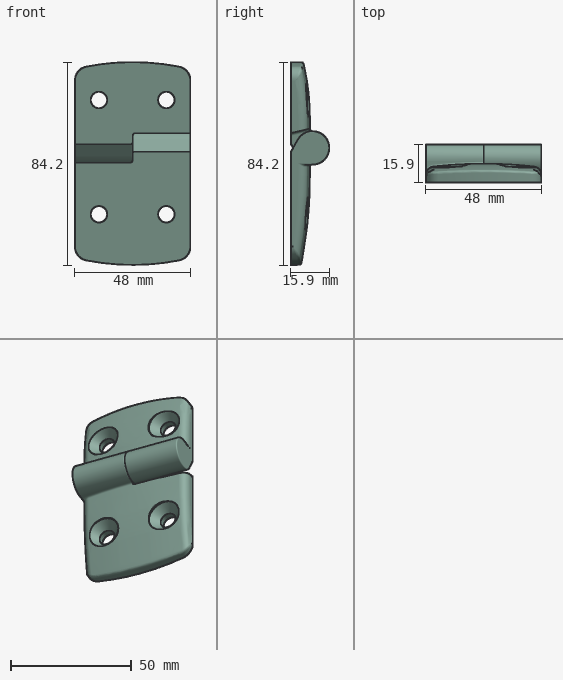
import cadquery as cq
import math

width = 48.0
half_width = width / 2

axis_y = 8.9
knuckle_radius = 7.0
knuckle_end_round = 0.5
knuckle_root_z = 1.5

plate_thickness = 7.9
plate_start_z = 4.2
back_crown_radius = 185.35
side_round = 3.7
end_radius = 100.0
corner_radius = 6.0
end_edge_round = 1.2
root_fillet = 0.85
bend_sweep = 30.0

slot_edge_z = 6.15
slot_slope = 13.3
slot_corner_round = 1.2

hole_diameter = 6.7
hole_x = 14.0
countersink_diameter = 14.0
countersink_y = 6.65
countersink_angle = 90.0

upper_length = 35.6
upper_hole_z = 19.9
upper_bend_z = 12.05
upper_bend_radius = 101.1
lower_length = 48.6
lower_hole_z = 27.55
lower_bend_z = 11.55
lower_bend_radius = 187.0


def crowned_outline(plane, base, top, crown_radius, round_radius):
    """Full-width outline with straight sides, a bulging top and tangent rounded corners."""
    crown_centre = top - crown_radius
    corner_x = half_width - round_radius
    corner_v = crown_centre + math.sqrt((crown_radius - round_radius) ** 2 - corner_x**2)
    tilt = math.asin(corner_x / (crown_radius - round_radius))
    crown_x = crown_radius * math.sin(tilt)
    crown_v = crown_centre + crown_radius * math.cos(tilt)
    middle_angle = (math.pi / 2 - tilt) / 2
    middle_x = corner_x + round_radius * math.cos(middle_angle)
    middle_v = corner_v + round_radius * math.sin(middle_angle)
    return (
        plane.moveTo(-half_width, base)
        .lineTo(half_width, base)
        .lineTo(half_width, corner_v)
        .threePointArc((middle_x, middle_v), (crown_x, crown_v))
        .threePointArc((0, top), (-crown_x, crown_v))
        .threePointArc((-middle_x, middle_v), (-half_width, corner_v))
        .close()
    )


def make_plate(length, bend_z, bend_radius):
    """Plate whose crowned back runs straight, then bends towards the mounting face."""

    def section(z):
        plane = cq.Workplane("XY", origin=(0, 0, z))
        return crowned_outline(plane, 0, plate_thickness, back_crown_radius, side_round)

    bend_axis_y = plate_thickness - bend_radius
    straight = section(plate_start_z).extrude(bend_z - plate_start_z)
    bent = section(bend_z).revolve(bend_sweep, (0, bend_axis_y), (1, bend_axis_y))
    outline = crowned_outline(
        cq.Workplane("XZ"), plate_start_z, length, end_radius, corner_radius
    ).extrude(-plate_thickness)
    plate = straight.union(bent).intersect(outline)
    back_end_edge = plate.faces(">Z").edges(">Y")
    return back_end_edge.fillet(end_edge_round)


def make_slot():
    """Wedge above the other leaf's knuckle, rounded in its inner corner."""
    depth = 2 * plate_thickness
    back_z = slot_edge_z + depth * math.tan(math.radians(slot_slope))
    return (
        cq.Workplane("YZ")
        .polyline([(0, 0), (0, slot_edge_z), (depth, back_z), (depth, 0)])
        .close()
        .extrude(width)
        .faces("<X")
        .edges(">Z")
        .fillet(slot_corner_round)
    )


def make_knuckle():
    """Half-width barrel with a flat top and a tangent underside reaching the mounting face."""
    root_distance = math.hypot(axis_y, knuckle_root_z)
    tangent_angle = math.atan2(knuckle_root_z, -axis_y) + math.acos(knuckle_radius / root_distance)
    tangent_y = axis_y + knuckle_radius * math.cos(tangent_angle)
    tangent_z = knuckle_radius * math.sin(tangent_angle)
    body = (
        cq.Workplane("YZ")
        .moveTo(0, knuckle_root_z)
        .lineTo(tangent_y, tangent_z)
        .threePointArc((axis_y + knuckle_radius, 0), (axis_y, knuckle_radius))
        .lineTo(0, knuckle_radius)
        .close()
        .extrude(-half_width)
    )
    return body.faces("<X or >X").edges("not <Y").fillet(knuckle_end_round)


def drill_holes(leaf, hole_z):
    """Two screw holes, each with a cone that opens into a straight bore through the curved back."""
    hole_radius = hole_diameter / 2
    countersink_radius = countersink_diameter / 2
    drill_length = 2 * plate_thickness
    cone_depth = (countersink_radius - hole_radius) / math.tan(math.radians(countersink_angle / 2))
    for x in (-hole_x, hole_x):
        drill = cq.Workplane("XZ", origin=(x, 0, hole_z)).circle(hole_radius).extrude(-drill_length)
        cone = (
            cq.Workplane("XZ", origin=(x, countersink_y - cone_depth, hole_z))
            .circle(hole_radius)
            .workplane(offset=-cone_depth)
            .circle(countersink_radius)
            .loft()
        )
        bore = (
            cq.Workplane("XZ", origin=(x, countersink_y, hole_z))
            .circle(countersink_radius)
            .extrude(-drill_length)
        )
        leaf = leaf.cut(drill).cut(cone).cut(bore)
    return leaf


def make_leaf(length, hole_z, bend_z, bend_radius):
    """Leaf rising from the pivot axis, with its knuckle at -X and its clearance slot at +X."""
    plate = make_plate(length, bend_z, bend_radius)
    leaf = plate.cut(make_slot()).union(make_knuckle())
    root_edge_box = cq.selectors.BoxSelector(
        (-half_width / 2, plate_thickness - 0.85, knuckle_radius - 0.1),
        (-knuckle_end_round, plate_thickness, knuckle_radius + 0.1),
    )
    leaf = leaf.edges(root_edge_box).fillet(root_fillet)
    return drill_holes(leaf, hole_z)


upper_leaf = make_leaf(upper_length, upper_hole_z, upper_bend_z, upper_bend_radius)

lower_leaf = make_leaf(lower_length, lower_hole_z, lower_bend_z, lower_bend_radius).rotate(
    (0, 0, 0), (0, 1, 0), 180
)

result = cq.Compound.makeCompound([upper_leaf.solids().val(), lower_leaf.solids().val()])